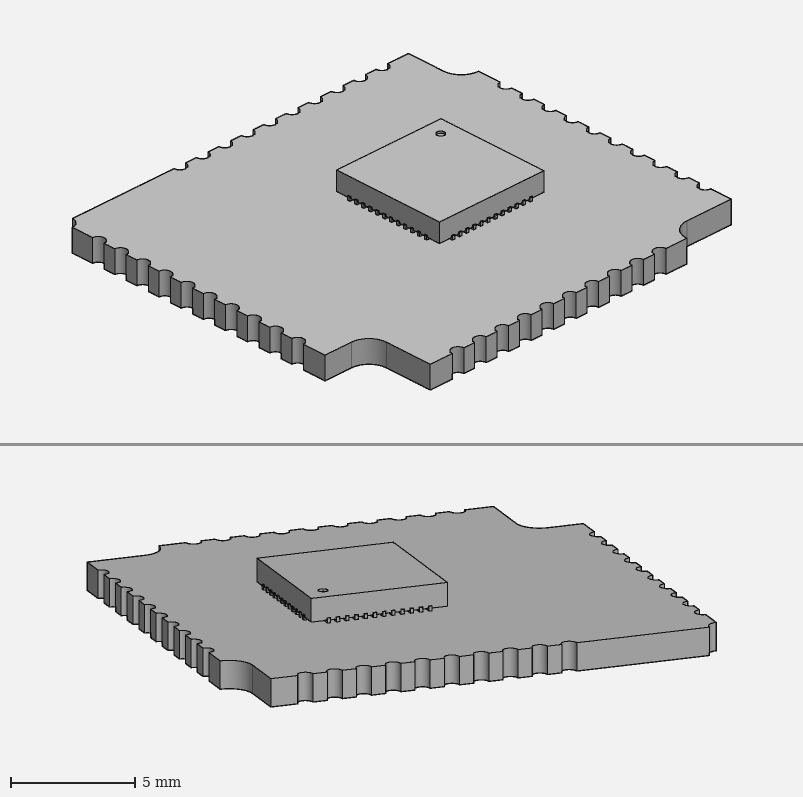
import cadquery as cq

BOARD_X = 18.5
BOARD_Y = 20.5
BOARD_THICKNESS = 1.2
LEFT, RIGHT = -BOARD_X / 2, BOARD_X / 2
FRONT, BACK = -BOARD_Y / 2, BOARD_Y / 2

NOTCH_FILLET = 1.0
BACK_LEFT_NOTCH = (3.0, 1.0)
BACK_RIGHT_NOTCH = (1.0, 3.5)
FRONT_RIGHT_NOTCH = (3.5, 2.5)
CORNER_SCALLOP_RADIUS = 0.5

CASTELLATION_RADIUS = 0.325
CASTELLATION_PITCH = 1.27
CASTELLATIONS_PER_EDGE = 10
CASTELLATION_SPAN = (CASTELLATIONS_PER_EDGE - 1) * CASTELLATION_PITCH
LEFT_ROW_FROM_BACK = 2.5
RIGHT_ROW_FROM_BACK = 5.0
BACK_ROW_FROM_RIGHT = 2.5
FRONT_ROW_FROM_LEFT = 2.0

TOTAL_HEIGHT = 2.35
CHIP_SIZE = 5.9
CHIP_CENTRE_X = -0.2
CHIP_CENTRE_Y = 2.125
BOARD_GAP = 0.05
CHIP_STANDOFF = 0.15
CHIP_BOTTOM = BOARD_THICKNESS + CHIP_STANDOFF
CHIP_HEIGHT = TOTAL_HEIGHT - CHIP_BOTTOM
LEAD_BOTTOM = BOARD_THICKNESS + BOARD_GAP

LEADS_PER_SIDE = 12
LEAD_PITCH = 0.4
LEAD_WIDTH = 0.14
LEAD_LENGTH = 0.25
LEAD_HEIGHT = 0.2
LEAD_PROTRUSION = 0.05
LEAD_SPAN = (LEADS_PER_SIDE - 1) * LEAD_PITCH

THERMAL_PAD_SIZE = 4.5
THERMAL_PAD_CHAMFER = 0.3
THERMAL_PAD_HEIGHT = CHIP_BOTTOM - LEAD_BOTTOM

MARK_RADIUS = 0.2
MARK_DEPTH = 0.1
MARK_INSET = 0.85


def edge_positions(first):
    """Coordinates of one castellation row, in increasing order from its first centre."""
    return [first + i * CASTELLATION_PITCH for i in range(CASTELLATIONS_PER_EDGE)]


def corner_notch(corner_x, corner_y, size):
    """Cutter that removes a rectangle from a board corner, rounded at its inner corner."""
    width, depth = size
    inner_x = "<X" if corner_x > 0 else ">X"
    inner_y = "<Y" if corner_y > 0 else ">Y"
    return (
        cq.Workplane("XY")
        .center(corner_x, corner_y)
        .rect(2 * width, 2 * depth)
        .extrude(BOARD_THICKNESS)
        .faces(inner_x)
        .edges(inner_y)
        .fillet(NOTCH_FILLET)
    )


def make_board():
    board = cq.Workplane("XY").box(BOARD_X, BOARD_Y, BOARD_THICKNESS, centered=(True, True, False))
    board = board.cut(corner_notch(LEFT, BACK, BACK_LEFT_NOTCH))
    board = board.cut(corner_notch(RIGHT, BACK, BACK_RIGHT_NOTCH))
    board = board.cut(corner_notch(RIGHT, FRONT, FRONT_RIGHT_NOTCH))

    scallop = cq.Workplane("XY").center(LEFT, FRONT).circle(CORNER_SCALLOP_RADIUS).extrude(BOARD_THICKNESS)
    board = board.cut(scallop)

    centres = [(LEFT, y) for y in edge_positions(BACK - LEFT_ROW_FROM_BACK - CASTELLATION_SPAN)]
    centres += [(RIGHT, y) for y in edge_positions(BACK - RIGHT_ROW_FROM_BACK - CASTELLATION_SPAN)]
    centres += [(x, BACK) for x in edge_positions(RIGHT - BACK_ROW_FROM_RIGHT - CASTELLATION_SPAN)]
    centres += [(x, FRONT) for x in edge_positions(LEFT + FRONT_ROW_FROM_LEFT)]
    holes = cq.Workplane("XY").pushPoints(centres).circle(CASTELLATION_RADIUS).extrude(BOARD_THICKNESS)
    return board.cut(holes)


def make_chip():
    chip_plane = cq.Workplane("XY").center(CHIP_CENTRE_X, CHIP_CENTRE_Y)
    chip = chip_plane.workplane(offset=CHIP_BOTTOM).rect(CHIP_SIZE, CHIP_SIZE).extrude(CHIP_HEIGHT)

    lead_plane = chip_plane.workplane(offset=LEAD_BOTTOM)
    thermal_pad = (
        lead_plane.rect(THERMAL_PAD_SIZE, THERMAL_PAD_SIZE)
        .extrude(THERMAL_PAD_HEIGHT)
        .edges("|Z and <X and >Y")
        .chamfer(THERMAL_PAD_CHAMFER)
    )
    chip = chip.union(thermal_pad)

    row_centre = CHIP_SIZE / 2 + LEAD_PROTRUSION - LEAD_LENGTH / 2
    along_side = [i * LEAD_PITCH - LEAD_SPAN / 2 for i in range(LEADS_PER_SIDE)]
    for across in (-row_centre, row_centre):
        x_leads = lead_plane.pushPoints([(across, y) for y in along_side]).rect(LEAD_LENGTH, LEAD_WIDTH)
        chip = chip.union(x_leads.extrude(LEAD_HEIGHT))
        y_leads = lead_plane.pushPoints([(x, across) for x in along_side]).rect(LEAD_WIDTH, LEAD_LENGTH)
        chip = chip.union(y_leads.extrude(LEAD_HEIGHT))

    mark_offset = CHIP_SIZE / 2 - MARK_INSET
    mark = (
        chip_plane.workplane(offset=TOTAL_HEIGHT - MARK_DEPTH)
        .center(-mark_offset, mark_offset)
        .circle(MARK_RADIUS)
        .extrude(MARK_DEPTH)
    )
    return chip.cut(mark)


board = make_board()
chip = make_chip()
result = cq.Compound.makeCompound([board.val(), chip.val()])